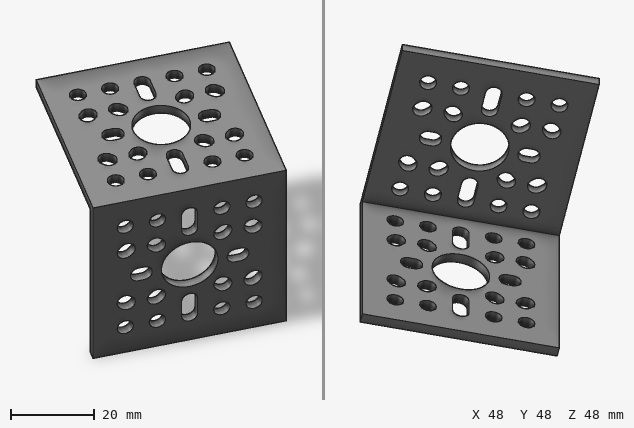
import cadquery as cq
import math

side = 48.0
thickness = 2.5
pitch = side / 6
hole_diameter = pitch / 2
bore_diameter = 14.0

mid = side / 2

square_radius = pitch * math.sqrt(2)
circle_radius = 1.5 * pitch
circle_diagonal = circle_radius / math.sqrt(2)


def slot_between(start, end):
    """Round-ended slot whose end arcs are centred on two (u, v) points."""
    run_u = end[0] - start[0]
    run_v = end[1] - start[1]
    center = ((start[0] + end[0]) / 2, (start[1] + end[1]) / 2)
    overall_length = math.hypot(run_u, run_v) + hole_diameter
    angle = math.degrees(math.atan2(run_v, run_u))
    return (
        cq.Workplane("XY")
        .center(*center)
        .slot2D(overall_length, hole_diameter, angle)
        .extrude(thickness)
    )


def perforated_plate():
    """Flat square plate centred on the Z axis, with its long slots along X."""
    round_holes = [
        (u * pitch, v * pitch)
        for u in (-2, 2)
        for v in (-2, -1, 1, 2)
    ]
    plate = (
        cq.Workplane("XY")
        .rect(side, side)
        .extrude(thickness)
        .faces(">Z")
        .workplane()
        .hole(bore_diameter)
        .pushPoints(round_holes)
        .hole(hole_diameter)
    )

    for sign in (-1, 1):
        plate = plate.cut(slot_between((sign * square_radius, 0), (sign * 2 * pitch, 0)))
        short_slot_start = (0, sign * square_radius)
        short_slot_end = (0, sign * (mid - square_radius))
        plate = plate.cut(slot_between(short_slot_start, short_slot_end))

    for sign_u in (-1, 1):
        for sign_v in (-1, 1):
            square_corner = (sign_u * pitch, sign_v * pitch)
            circle_point = (sign_u * circle_diagonal, sign_v * circle_diagonal)
            plate = plate.cut(slot_between(square_corner, circle_point))

            edge_square_corner = (sign_u * pitch, sign_v * (mid - pitch))
            edge_circle_point = (sign_u * circle_diagonal, sign_v * (mid - circle_diagonal))
            plate = plate.cut(slot_between(edge_square_corner, edge_circle_point))
    return plate


horizontal_plate = perforated_plate().translate((0, 0, mid - thickness))
upright_plate = (
    perforated_plate()
    .rotate((0, 0, 0), (0, 1, 0), 90)
    .translate((mid - thickness, 0, 0))
)

result = horizontal_plate.union(upright_plate)